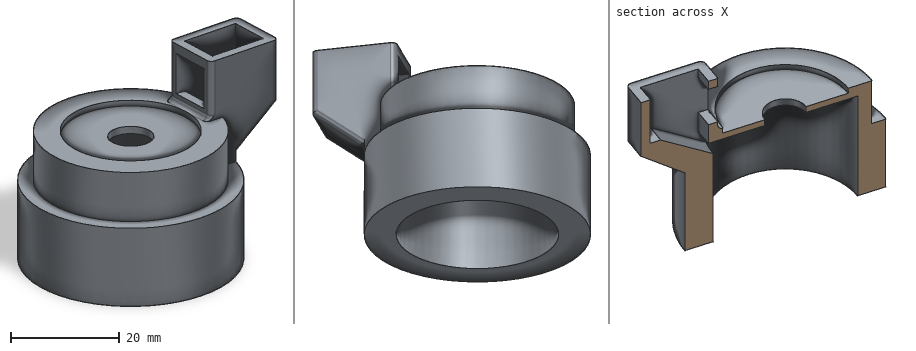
import cadquery as cq

skirt_diameter = 41.8
skirt_height = 16.0
collar_diameter = 36.0
collar_height = 10.05
skirt_radius = skirt_diameter / 2
body_height = skirt_height + collar_height

recess_diameter = 26.0
recess_depth = 1.15
bore_diameter = 8.5
end_wall = 1.5
cavity_diameter = 30.0
cavity_height = body_height - recess_depth - end_wall

overall_length = 50.9
spout_width = 12.05
spout_height = 12.0
spout_length = 16.0
spout_rear = overall_length - skirt_radius
spout_front = spout_rear - spout_length
spout_top = body_height + spout_height
edge_radius = 1.0
slope_top = body_height - 0.6
slope_drop = 7.2
slope_bottom = slope_top - slope_drop

spout_wall = 2.0
passage_width = 8.2
passage_front = spout_front + spout_wall
passage_rear = spout_rear - spout_wall
window_height = 8.2
window_bottom = spout_top - spout_wall - window_height
ledge_length = 2.1
ledge_front = passage_rear - ledge_length
floor_grade = 0.65
throat_front = 12.7
throat_bottom = window_bottom - floor_grade * (ledge_front - throat_front)


def cylinder(diameter, height, base=0):
    return cq.Workplane("XY").workplane(offset=base).circle(diameter / 2).extrude(height)


def profile_across(points, width):
    """Extrude a (y, z) outline symmetrically along X."""
    return cq.Workplane("YZ").polyline(points).close().extrude(width / 2, both=True)


def make_spout():
    outline = [
        (spout_front, slope_bottom),
        (skirt_radius, slope_bottom),
        (spout_rear, slope_top),
        (spout_rear, spout_top),
        (spout_front, spout_top),
    ]
    block = profile_across(outline, spout_width)
    sloping = block.faces("<X or >X").edges("not(|Y or |Z)")
    return block.edges("|Z").add(sloping).fillet(edge_radius)


def make_tongue():
    """Wall below the slope, flush with the spout sides and round like the skirt."""
    strip = profile_across(
        [
            (spout_front, skirt_height),
            (skirt_radius, skirt_height),
            (skirt_radius, slope_bottom + edge_radius),
            (spout_front, slope_bottom + edge_radius),
        ],
        spout_width,
    )
    return strip.intersect(cylinder(skirt_diameter, body_height))


def cove_profile(wall):
    """Concave foot outline in the YZ plane, reaching into the wall to join it."""
    return (
        cq.Workplane("YZ")
        .moveTo(wall + edge_radius, body_height)
        .lineTo(wall - edge_radius, body_height)
        .radiusArc((wall, body_height + edge_radius), -edge_radius)
        .lineTo(wall + edge_radius, body_height + edge_radius)
        .close()
    )


def make_front_cove():
    """Concave foot along the spout front, trimmed to a footprint with rounded corners."""
    corner_x = spout_width / 2 - edge_radius
    corner_y = spout_front + edge_radius
    cove = cove_profile(spout_front).extrude(corner_x, both=True)
    for side in (-1, 1):
        corner = (
            cove_profile(-edge_radius)
            .revolve(360, (0, 0, 0), (0, 1, 0))
            .translate((side * corner_x, corner_y, 0))
        )
        cove = cove.union(corner)
    footprint = (
        cq.Workplane("XY")
        .box(spout_width, spout_length, spout_top, centered=(True, False, False))
        .edges("|Z and <Y")
        .fillet(edge_radius)
        .translate((0, spout_front - edge_radius, 0))
    )
    return cove.intersect(footprint)


def make_passage():
    shaft = profile_across(
        [
            (passage_front, spout_top),
            (passage_rear, spout_top),
            (passage_rear, window_bottom),
            (ledge_front, window_bottom),
            (throat_front, throat_bottom),
            (throat_front, cavity_height),
            (passage_front, cavity_height),
        ],
        passage_width,
    )
    window = (
        cq.Workplane("XY")
        .box(passage_width, spout_length / 2, window_height, centered=(True, True, False))
        .translate((0, spout_front, window_bottom))
    )
    return shaft.union(window)


body = cylinder(skirt_diameter, skirt_height)
body = body.union(cylinder(collar_diameter, collar_height, skirt_height))
body = body.union(make_tongue()).union(make_spout()).union(make_front_cove())

body = body.cut(cylinder(cavity_diameter, cavity_height))
body = body.cut(cylinder(recess_diameter, recess_depth, body_height - recess_depth))
body = body.cut(cylinder(bore_diameter, body_height))
result = body.cut(make_passage())